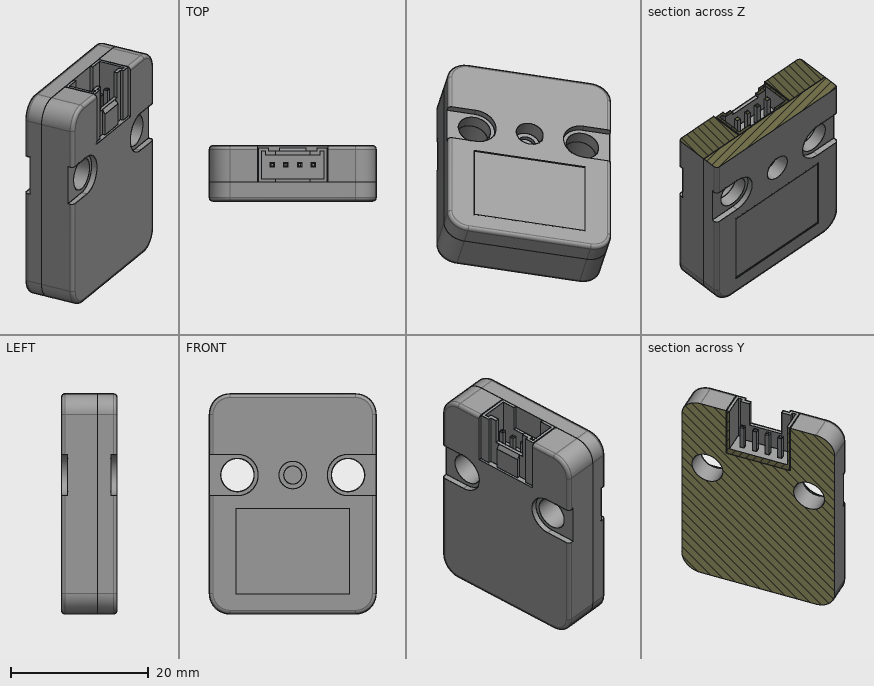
import cadquery as cq

CASE_WIDTH = 24.25
CASE_THICKNESS = 8.1
CASE_HEIGHT = 32.0
CORNER_RADIUS = 3.0
EDGE_RADIUS = 0.55
COVER_THICKNESS = 2.8
FRONT_Y = -CASE_THICKNESS / 2
BACK_Y = CASE_THICKNESS / 2
PARTING_Y = FRONT_Y + COVER_THICKNESS
TOP_Z = CASE_HEIGHT / 2

HOLE_ROW_Z = 4.2
MOUNT_OFFSET_X = 8.03
MOUNT_HOLE_DIAMETER = 4.8
MOUNT_RELIEF_WIDTH = 6.0
MOUNT_RELIEF_DEPTH = 0.9
SCREW_HEAD_DIAMETER = 4.0
SCREW_HEAD_DEPTH = 2.25
SCREW_HOLE_DIAMETER = 2.62

LABEL_WIDTH = 16.48
LABEL_HEIGHT = 12.4
LABEL_CENTER_Z = -6.85
LABEL_DEPTH = 0.2

CONNECTOR_WIDTH = 10.0
CONNECTOR_THICKNESS = 4.93
CONNECTOR_HEIGHT = 8.0
CONNECTOR_FLOOR_THICKNESS = 0.95
WALL_THICKNESS = 0.45
CONNECTOR_BACK_Y = PARTING_Y + CONNECTOR_THICKNESS
CONNECTOR_BASE_Z = TOP_Z - CONNECTOR_HEIGHT
CONNECTOR_FLOOR_Z = CONNECTOR_BASE_Z + CONNECTOR_FLOOR_THICKNESS
SLOT_CLEARANCE = 0.1
SLOT_WIDTH = CONNECTOR_WIDTH + 2 * SLOT_CLEARANCE

GROOVE_WIDTH = 7.05
TONGUE_WIDTH = 7.97
TONGUE_THICKNESS = 0.55
LATCH_WIDTH = 3.9
LATCH_HEIGHT = 0.65
WINDOW_WIDTH = 5.05
WINDOW_DEPTH = 4.0
WINDOW_SILL_Z = TOP_Z - WINDOW_DEPTH

PIN_COUNT = 4
PIN_PITCH = 2.0
PIN_SIZE = 0.65
PIN_TIP_CHAMFER = 0.15
PIN_Y = 1.25
PIN_TOP_Z = 12.8


def box(width, y_start, y_end, z_start, z_end):
    """Block centred on X that spans the given Y and Z ranges."""
    center = (0, (y_start + y_end) / 2, (z_start + z_end) / 2)
    return cq.Workplane("XY").box(width, y_end - y_start, z_end - z_start).translate(center)


def y_cylinder(x, z, diameter, y_start, y_end):
    """Cylinder along Y from y_start to y_end."""
    plane = cq.Workplane("XZ", origin=(x, y_start, z))
    return plane.circle(diameter / 2).extrude(y_start - y_end)


def mount_relief(side, y_start, y_end):
    """Round-ended recess that runs from a mounting hole out through the case side."""
    x = side * MOUNT_OFFSET_X
    outer_x = side * CASE_WIDTH / 2
    round_end = y_cylinder(x, HOLE_ROW_Z, MOUNT_RELIEF_WIDTH, y_start, y_end)
    channel = (
        cq.Workplane("XY")
        .box(abs(outer_x - x), y_end - y_start, MOUNT_RELIEF_WIDTH)
        .translate(((x + outer_x) / 2, (y_start + y_end) / 2, HOLE_ROW_Z))
    )
    return round_end.union(channel)


def case_block():
    """Full outside shape of the case with its mounting holes and their reliefs."""
    block = (
        box(CASE_WIDTH, FRONT_Y, BACK_Y, -TOP_Z, TOP_Z)
        .edges("|Y")
        .fillet(CORNER_RADIUS)
        .faces("<Y or >Y")
        .edges()
        .fillet(EDGE_RADIUS)
    )
    for side in (-1, 1):
        block = block.cut(mount_relief(side, FRONT_Y, FRONT_Y + MOUNT_RELIEF_DEPTH))
        block = block.cut(mount_relief(side, BACK_Y - MOUNT_RELIEF_DEPTH, BACK_Y))
        hole = y_cylinder(side * MOUNT_OFFSET_X, HOLE_ROW_Z, MOUNT_HOLE_DIAMETER, FRONT_Y, BACK_Y)
        block = block.cut(hole)
    return block


def make_cover():
    """Front part of the case, with the counterbored screw hole and the label recess."""
    cover = case_block().intersect(box(CASE_WIDTH, FRONT_Y, PARTING_Y, -TOP_Z, TOP_Z))
    head_floor_y = FRONT_Y + SCREW_HEAD_DEPTH
    head_recess = y_cylinder(0, HOLE_ROW_Z, SCREW_HEAD_DIAMETER, FRONT_Y, head_floor_y)
    screw_hole = y_cylinder(0, HOLE_ROW_Z, SCREW_HOLE_DIAMETER, FRONT_Y, PARTING_Y)
    label_bottom_z = LABEL_CENTER_Z - LABEL_HEIGHT / 2
    label_top_z = LABEL_CENTER_Z + LABEL_HEIGHT / 2
    label_recess = box(LABEL_WIDTH, FRONT_Y, FRONT_Y + LABEL_DEPTH, label_bottom_z, label_top_z)
    return cover.cut(head_recess).cut(screw_hole).cut(label_recess)


def make_back_shell():
    """Back part of the case, with the slot for the connector open at the top and the back."""
    shell = case_block().intersect(box(CASE_WIDTH, PARTING_Y, BACK_Y, -TOP_Z, TOP_Z))
    return shell.cut(box(SLOT_WIDTH, PARTING_Y, BACK_Y, CONNECTOR_BASE_Z, TOP_Z))


def pin_at(x):
    """Square pin with a tapered tip, standing on the connector floor."""
    pin = box(PIN_SIZE, PIN_Y - PIN_SIZE / 2, PIN_Y + PIN_SIZE / 2, CONNECTOR_FLOOR_Z, PIN_TOP_Z)
    return pin.faces(">Z").chamfer(PIN_TIP_CHAMFER).translate((x, 0, 0))


def latch_wedge(groove_y):
    """Wedge in the groove of the back wall, with its top sloping down to the outside."""
    profile = [
        (groove_y, CONNECTOR_BASE_Z),
        (CONNECTOR_BACK_Y, CONNECTOR_BASE_Z),
        (CONNECTOR_BACK_Y, WINDOW_SILL_Z - LATCH_HEIGHT),
        (groove_y, WINDOW_SILL_Z),
    ]
    return cq.Workplane("YZ").polyline(profile).close().extrude(LATCH_WIDTH / 2, both=True)


def make_connector():
    """Open-topped connector housing with windows through its front and back walls."""
    inner_front_y = PARTING_Y + WALL_THICKNESS
    inner_back_y = CONNECTOR_BACK_Y - WALL_THICKNESS
    inner_width = CONNECTOR_WIDTH - 2 * WALL_THICKNESS
    tongue_y = inner_back_y - TONGUE_THICKNESS
    body = box(CONNECTOR_WIDTH, PARTING_Y, CONNECTOR_BACK_Y, CONNECTOR_BASE_Z, TOP_Z)
    cavity = box(inner_width, inner_front_y, inner_back_y, CONNECTOR_FLOOR_Z, TOP_Z)
    tongue = box(TONGUE_WIDTH, tongue_y, inner_back_y, CONNECTOR_FLOOR_Z, TOP_Z)
    groove = box(GROOVE_WIDTH, inner_back_y, CONNECTOR_BACK_Y, CONNECTOR_BASE_Z, TOP_Z)
    windows = box(WINDOW_WIDTH, PARTING_Y, CONNECTOR_BACK_Y, WINDOW_SILL_Z, TOP_Z)
    body = body.cut(cavity.cut(tongue)).cut(groove).cut(windows)
    return body.union(latch_wedge(inner_back_y))


cover = make_cover()
back_shell = make_back_shell()
connector = make_connector()

first_pin_x = -PIN_PITCH * (PIN_COUNT - 1) / 2
pins = []
for index in range(PIN_COUNT):
    pins.append(pin_at(first_pin_x + index * PIN_PITCH).val())

result = cq.Compound.makeCompound([cover.val(), back_shell.val(), connector.val(), *pins])